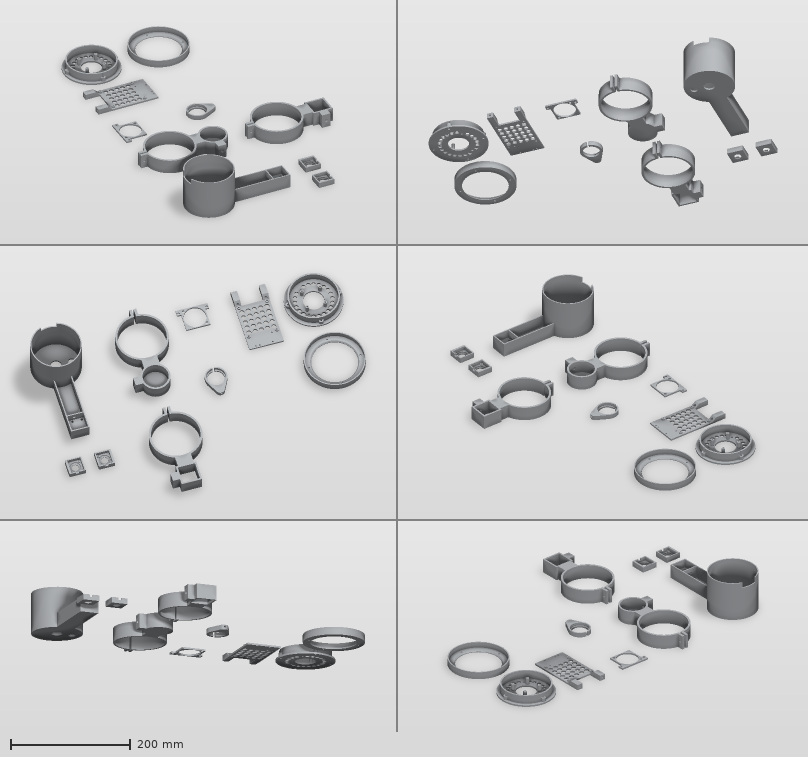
import cadquery as cq
import math

OVERALL_LENGTH = 545.5
SHEET = 3.0
LOWER_ROW_Y = -119.5
FAN_HOLE_OFFSET = 16.0
FAN_SIGNS = [(-1, -1), (-1, 1), (1, -1), (1, 1)]


def disc(radius, height, x=0.0, y=0.0, z=0.0):
    """Upright cylinder standing on height z."""
    return cq.Workplane("XY", origin=(x, y, z)).circle(radius).extrude(height)


def block(x0, x1, y0, y1, z0, z1):
    """Axis-aligned box between two corners."""
    return cq.Workplane("XY", origin=(x0, y0, z0)).box(x1 - x0, y1 - y0, z1 - z0, centered=False)


def bar_along_x(diameter, x0, x1, y, z):
    """Cylinder whose axis runs along X."""
    return cq.Workplane("YZ", origin=(x0, y, z)).circle(diameter / 2).extrude(x1 - x0)


def bar_along_y(diameter, y0, y1, x, z):
    """Cylinder whose axis runs along Y."""
    return cq.Workplane("XZ", origin=(x, y1, z)).circle(diameter / 2).extrude(y1 - y0)


def rim_points(radius):
    """Four points on a circle, on the X and Y axes."""
    return [(radius, 0), (0, radius), (-radius, 0), (0, -radius)]


RING_DIAMETER = 104.0
RING_RADIUS = RING_DIAMETER / 2
HOUSING_X = RING_RADIUS - OVERALL_LENGTH / 2
RIM_SCREW_RADIUS = 45.0
RIM_SCREW_DIAMETER = 3.2

RING_Y = 5.5
RING_HEIGHT = 13.0
RING_RECESS_RADIUS = 50.0
RING_OPENING_RADIUS = 39.5
RING_CHAMFER = 1.9


def make_cover_ring():
    ring = disc(RING_RADIUS, RING_HEIGHT)
    ring = ring.cut(disc(RING_RECESS_RADIUS, RING_HEIGHT, z=SHEET))
    ring = ring.cut(disc(RING_OPENING_RADIUS, SHEET))
    chamfer = (
        cq.Workplane("XY", origin=(0, 0, SHEET - RING_CHAMFER)).circle(RING_OPENING_RADIUS)
        .workplane(offset=RING_CHAMFER).circle(RING_OPENING_RADIUS + RING_CHAMFER).loft()
    )
    screws = (
        cq.Workplane("XY").pushPoints(rim_points(RIM_SCREW_RADIUS))
        .circle(RIM_SCREW_DIAMETER / 2).extrude(RING_HEIGHT)
    )
    return ring.cut(chamfer).cut(screws).translate((HOUSING_X, RING_Y, 0))


BASE_RADIUS = 50.0
BASE_HEIGHT = 18.0
BASE_WALL_RADIUS = 44.0
BASE_WALL_INNER_RADIUS = 41.5
BASE_OPENING_DIAMETER = 36.0
RIM_BOSS_DIAMETER = 8.0
RIM_BOSS_HEIGHT = 10.0
FAN_POST_DIAMETER = 6.0
FAN_POST_TOP = 15.0
FAN_POST_HOLE_DIAMETER = 2.7
VENT_DIAMETER = 7.0
VENT_CIRCLE_RADIUS = 31.5
VENT_PITCHES = 22
VENT_GAPS = [2, 9]
GAP_HOLE_DIAMETER = 3.5
GAP_HOLE_X = 15.5
GAP_HOLE_Y = 24.5


def make_fan_base():
    base = disc(BASE_RADIUS, SHEET)
    base = base.union(disc(BASE_WALL_RADIUS, BASE_HEIGHT))
    bosses = (
        cq.Workplane("XY").pushPoints(rim_points(RIM_SCREW_RADIUS))
        .circle(RIM_BOSS_DIAMETER / 2).extrude(RIM_BOSS_HEIGHT)
    )
    base = base.union(bosses)
    base = base.cut(disc(BASE_WALL_INNER_RADIUS, BASE_HEIGHT, z=SHEET))

    fan_points = [(sx * FAN_HOLE_OFFSET, sy * FAN_HOLE_OFFSET) for sx, sy in FAN_SIGNS]
    posts = cq.Workplane("XY").pushPoints(fan_points).circle(FAN_POST_DIAMETER / 2).extrude(FAN_POST_TOP)
    base = base.union(posts)
    base = base.cut(disc(BASE_OPENING_DIAMETER / 2, SHEET))
    post_holes = (
        cq.Workplane("XY", origin=(0, 0, SHEET)).pushPoints(fan_points)
        .circle(FAN_POST_HOLE_DIAMETER / 2).extrude(BASE_HEIGHT)
    )
    base = base.cut(post_holes)

    vent_points = []
    for place in range(VENT_PITCHES):
        if place not in VENT_GAPS:
            angle = 2 * math.pi * place / VENT_PITCHES
            vent_points.append((VENT_CIRCLE_RADIUS * math.sin(angle), VENT_CIRCLE_RADIUS * math.cos(angle)))
    base = base.cut(cq.Workplane("XY").pushPoints(vent_points).circle(VENT_DIAMETER / 2).extrude(SHEET))

    gap_points = [(GAP_HOLE_X, GAP_HOLE_Y), (GAP_HOLE_X, -GAP_HOLE_Y)]
    base = base.cut(cq.Workplane("XY").pushPoints(gap_points).circle(GAP_HOLE_DIAMETER / 2).extrude(SHEET))

    screws = (
        cq.Workplane("XY").pushPoints(rim_points(RIM_SCREW_RADIUS))
        .circle(RIM_SCREW_DIAMETER / 2).extrude(BASE_HEIGHT)
    )
    return base.cut(screws).translate((HOUSING_X, LOWER_ROW_Y, 0))


PLATE_X = -120.5
PLATE_WIDTH = 60.0
PLATE_BACK_Y = -58.0
PLATE_LENGTH = 85.5
LEG_WIDTH = 11.0
LEG_HEIGHT = 10.0
LEG_RAMP = 7.5
LEG_END_Y = -169.5
LEG_HOLE_DIAMETER = 3.4
LEG_HOLE_DEPTH = 11.0
BOARD_HOLE_X = 24.5
BOARD_HOLE_BACK_Y = -81.5
BOARD_HOLE_SPACING = 58.5
BOARD_POST_DIAMETER = 6.0
BOARD_POST_TOP = 6.0
BOARD_POST_HOLE_DIAMETER = 2.8
RAMP_HOLE_DIAMETER = 4.8
RAMP_HOLE_Y = -145.5
GRID_COUNT = 5
GRID_PITCH_X = 11.0
GRID_PITCH_Y = 10.5
GRID_CENTRE_Y = -110.0
GRID_HOLE_DIAMETER = 8.0
SMALL_HOLE_DIAMETER = 2.8
SMALL_HOLES = [(-132.0, -61.0), (-109.0, -61.0), (-102.5, -61.0), (-135.5, -79.0)]


def make_leg(x0):
    """Leg of the plate; a ramp rises from the plate to the top of the leg."""
    ramp_start = PLATE_BACK_Y - PLATE_LENGTH
    profile = [
        (ramp_start, 0), (ramp_start, SHEET), (ramp_start - LEG_RAMP, LEG_HEIGHT),
        (LEG_END_Y, LEG_HEIGHT), (LEG_END_Y, 0),
    ]
    leg = cq.Workplane("YZ", origin=(x0, 0, 0)).polyline(profile).close().extrude(LEG_WIDTH)
    hole = bar_along_y(
        LEG_HOLE_DIAMETER, LEG_END_Y, LEG_END_Y + LEG_HOLE_DEPTH, x0 + LEG_WIDTH / 2, LEG_HEIGHT / 2
    )
    return leg.cut(hole)


def make_board_plate():
    left = PLATE_X - PLATE_WIDTH / 2
    right = PLATE_X + PLATE_WIDTH / 2
    plate = block(left, right, PLATE_BACK_Y - PLATE_LENGTH, PLATE_BACK_Y, 0, SHEET)
    for x0 in (left, right - LEG_WIDTH):
        plate = plate.union(make_leg(x0))

    for x in (PLATE_X - BOARD_HOLE_X, PLATE_X + BOARD_HOLE_X):
        for y in (BOARD_HOLE_BACK_Y, BOARD_HOLE_BACK_Y - BOARD_HOLE_SPACING):
            plate = plate.union(disc(BOARD_POST_DIAMETER / 2, BOARD_POST_TOP, x, y))
            plate = plate.cut(disc(BOARD_POST_HOLE_DIAMETER / 2, BOARD_POST_TOP, x, y))
        plate = plate.cut(disc(RAMP_HOLE_DIAMETER / 2, LEG_HEIGHT, x, RAMP_HOLE_Y, SHEET))

    grid = (
        cq.Workplane("XY", origin=(PLATE_X, GRID_CENTRE_Y, 0))
        .rarray(GRID_PITCH_X, GRID_PITCH_Y, GRID_COUNT, GRID_COUNT)
        .circle(GRID_HOLE_DIAMETER / 2).extrude(SHEET)
    )
    small_holes = cq.Workplane("XY").pushPoints(SMALL_HOLES).circle(SMALL_HOLE_DIAMETER / 2).extrude(SHEET)
    return plate.cut(grid).cut(small_holes)


BRACKET_X = -21.0
BRACKET_BOTTOM_Y = -165.0
BRACKET_WIDTH = 42.0
BRACKET_LENGTH = 41.0
FOOT_WIDTH = 55.5
FOOT_LENGTH = 10.0
FAN_CENTRE_Y = -144.0
FAN_OPENING_DIAMETER = 38.0
FAN_SCREW_DIAMETER = 4.8
FOOT_HOLE_X = 24.5
FOOT_HOLE_Y = -158.0
FOOT_HOLE_DIAMETER = 4.1


def make_fan_bracket():
    top = BRACKET_BOTTOM_Y + BRACKET_LENGTH
    bracket = block(-BRACKET_WIDTH / 2, BRACKET_WIDTH / 2, BRACKET_BOTTOM_Y, top, 0, SHEET)
    foot_top = BRACKET_BOTTOM_Y + FOOT_LENGTH
    bracket = bracket.union(block(-FOOT_WIDTH / 2, FOOT_WIDTH / 2, BRACKET_BOTTOM_Y, foot_top, 0, SHEET))
    bracket = bracket.cut(disc(FAN_OPENING_DIAMETER / 2, SHEET, 0, FAN_CENTRE_Y))
    for side in (-1, 1):
        fan_screw_y = FAN_CENTRE_Y - side * FAN_HOLE_OFFSET
        bracket = bracket.cut(disc(FAN_SCREW_DIAMETER / 2, SHEET, side * FAN_HOLE_OFFSET, fan_screw_y))
        bracket = bracket.cut(disc(FOOT_HOLE_DIAMETER / 2, SHEET, side * FOOT_HOLE_X, FOOT_HOLE_Y))
    return bracket.translate((BRACKET_X, 0, 0))


EAR_RING_X = -21.0
EAR_RING_Y = -19.5
EAR_RING_RADIUS = 19.0
EAR_RING_HOLE_DIAMETER = 29.0
EAR_RING_RECESS_DIAMETER = 33.5
EAR_RING_HEIGHT = 8.0
EAR_TIP_RADIUS = 7.5
EAR_TIP_Y = 25.0
SLIT_WIDTH = 3.5
EAR_HOLE_DIAMETER = 3.4
EAR_HOLE_Z = 5.0


def make_ear_ring():
    flank = math.asin((EAR_RING_RADIUS - EAR_TIP_RADIUS) / EAR_TIP_Y)
    ring_x = EAR_RING_RADIUS * math.cos(flank)
    ring_y = EAR_RING_RADIUS * math.sin(flank)
    tip_x = EAR_TIP_RADIUS * math.cos(flank)
    tip_y = EAR_TIP_Y + EAR_TIP_RADIUS * math.sin(flank)
    body = (
        cq.Workplane("XY").moveTo(ring_x, ring_y).lineTo(tip_x, tip_y)
        .threePointArc((0, EAR_TIP_Y + EAR_TIP_RADIUS), (-tip_x, tip_y))
        .lineTo(-ring_x, ring_y)
        .threePointArc((0, -EAR_RING_RADIUS), (ring_x, ring_y))
        .close().extrude(EAR_RING_HEIGHT)
    )
    body = body.cut(disc(EAR_RING_HOLE_DIAMETER / 2, EAR_RING_HEIGHT))
    body = body.cut(block(-SLIT_WIDTH / 2, SLIT_WIDTH / 2, -EAR_RING_RADIUS, 0, 0, EAR_RING_HEIGHT))
    body = body.cut(disc(EAR_RING_RECESS_DIAMETER / 2, EAR_RING_HEIGHT, z=SHEET))
    ear_hole = bar_along_y(EAR_HOLE_DIAMETER, 0, EAR_TIP_Y + EAR_TIP_RADIUS, 0, EAR_HOLE_Z)
    return body.cut(ear_hole).translate((EAR_RING_X, EAR_RING_Y, 0))


CLAMP_X = 79.0
CLAMP_HEIGHT = 25.0
CLAMP_BORE_DIAMETER = 83.0
CLAMP_WALL = 3.55
CLAMP_RADIUS = CLAMP_BORE_DIAMETER / 2 + CLAMP_WALL
CLAMP_SLIT = 3.5
CLAMP_TAB_SPAN = 12.5
CLAMP_TAB_END = 56.0
CLAMP_BOLT_Y = -50.0
CLAMP_BOLT_DIAMETER = 3.4
NECK_WIDTH = 28.0
STUB_WIDTH = 15.5
STUB_LENGTH = 12.0
STUB_HOLE_DIAMETER = 5.1

UPPER_CLAMP_Y = 79.5
SQUARE_OUTER = 36.0
SQUARE_INNER = 30.0
SQUARE_CENTRE = 78.0

CUP_RADIUS = 25.0
CUP_INNER_RADIUS = 22.0
CUP_CENTRE = 80.0


def clamp_with(socket, cavity, socket_centre, socket_half):
    """Split clamp ring joined by a neck to a socket that carries a drilled side stub."""
    tab_half = CLAMP_TAB_SPAN / 2
    slit_half = CLAMP_SLIT / 2
    stub_end = socket_half + STUB_LENGTH
    clamp = disc(CLAMP_RADIUS, CLAMP_HEIGHT)
    clamp = clamp.union(block(-tab_half, tab_half, -CLAMP_TAB_END, 0, 0, CLAMP_HEIGHT))
    clamp = clamp.union(block(-NECK_WIDTH / 2, NECK_WIDTH / 2, 0, socket_centre, 0, CLAMP_HEIGHT))
    clamp = clamp.union(socket)
    stub_low = socket_centre - STUB_WIDTH / 2
    clamp = clamp.union(block(0, stub_end, stub_low, stub_low + STUB_WIDTH, 0, CLAMP_HEIGHT))
    clamp = clamp.cut(disc(CLAMP_BORE_DIAMETER / 2, CLAMP_HEIGHT))
    clamp = clamp.cut(cavity)
    clamp = clamp.cut(block(-slit_half, slit_half, -CLAMP_TAB_END, 0, 0, CLAMP_HEIGHT))
    clamp = clamp.cut(bar_along_x(CLAMP_BOLT_DIAMETER, -tab_half, tab_half, CLAMP_BOLT_Y, CLAMP_HEIGHT / 2))
    return clamp.cut(bar_along_x(STUB_HOLE_DIAMETER, 0, stub_end, socket_centre, CLAMP_HEIGHT / 2))


def square_prism(side, centre_y):
    return cq.Workplane("XY", origin=(0, centre_y, 0)).rect(side, side).extrude(CLAMP_HEIGHT)


def make_square_clamp():
    socket = square_prism(SQUARE_OUTER, SQUARE_CENTRE)
    cavity = square_prism(SQUARE_INNER, SQUARE_CENTRE)
    clamp = clamp_with(socket, cavity, SQUARE_CENTRE, SQUARE_OUTER / 2)
    return clamp.translate((CLAMP_X, UPPER_CLAMP_Y, 0))


def make_cup_clamp():
    socket = disc(CUP_RADIUS, CLAMP_HEIGHT, y=CUP_CENTRE)
    cavity = disc(CUP_INNER_RADIUS, CLAMP_HEIGHT, y=CUP_CENTRE, z=SHEET)
    clamp = clamp_with(socket, cavity, CUP_CENTRE, CUP_RADIUS)
    return clamp.translate((CLAMP_X, LOWER_ROW_Y, 0))


HOLDER_DIAMETER = 87.0
HOLDER_RADIUS = HOLDER_DIAMETER / 2
HOLDER_X = OVERALL_LENGTH / 2 - HOLDER_RADIUS
HOLDER_WALL = 2.0
HOLDER_HEIGHT = 70.0
HOLDER_HOLE_DIAMETER = 19.0
SIDE_HOLE_DIAMETER = 12.0
SIDE_HOLE_X = -27.5
NOTCH_X0 = -13.0
NOTCH_X1 = 15.5
NOTCH_DEPTH = 10.0
ARM_WIDTH = 32.0
ARM_HEIGHT = 25.0
ARM_END = 144.0
DIVIDER_FRONT = 112.0
BAY_FLOOR = 10.0
BAY_HOLE_DIAMETER = 4.1
BAY_HOLES = [(-7.0, 137.0), (9.5, 137.0), (-10.5, 117.5), (6.0, 117.5)]
WIRE_HOLE_DIAMETER = 4.8
WIRE_HOLE_X = 1.5
WIRE_HOLE_Z = 16.5


def make_bottle_holder():
    arm_half = ARM_WIDTH / 2
    inner_half = arm_half - HOLDER_WALL
    bay_front = DIVIDER_FRONT + HOLDER_WALL
    holder = block(-arm_half, arm_half, 0, ARM_END, 0, ARM_HEIGHT)
    holder = holder.cut(block(-inner_half, inner_half, 0, DIVIDER_FRONT, SHEET, ARM_HEIGHT))
    holder = holder.cut(block(-inner_half, inner_half, bay_front, ARM_END - HOLDER_WALL, BAY_FLOOR, ARM_HEIGHT))
    bay_holes = cq.Workplane("XY").pushPoints(BAY_HOLES).circle(BAY_HOLE_DIAMETER / 2).extrude(BAY_FLOOR - SHEET)
    holder = holder.cut(bay_holes.translate((0, 0, SHEET)))
    holder = holder.cut(bar_along_y(WIRE_HOLE_DIAMETER, DIVIDER_FRONT, bay_front, WIRE_HOLE_X, WIRE_HOLE_Z))

    holder = holder.union(disc(HOLDER_RADIUS, HOLDER_HEIGHT))
    holder = holder.cut(disc(HOLDER_RADIUS - HOLDER_WALL, HOLDER_HEIGHT, z=SHEET))
    holder = holder.cut(disc(HOLDER_HOLE_DIAMETER / 2, SHEET))
    holder = holder.cut(disc(SIDE_HOLE_DIAMETER / 2, SHEET, SIDE_HOLE_X))
    notch_floor = HOLDER_HEIGHT - NOTCH_DEPTH
    holder = holder.cut(block(NOTCH_X0, NOTCH_X1, -HOLDER_RADIUS, 0, notch_floor, HOLDER_HEIGHT))
    return holder.translate((HOLDER_X, LOWER_ROW_Y, 0))


CAP_CENTRES_X = [203.5, 255.0]
CAP_Y = 81.0
CAP_SIDE = 28.5
CAP_HEIGHT = 10.0
CAP_WALL = 2.0
CAP_THICK_WALL = 3.5
CAP_HOLE_DIAMETER = 12.0
CAP_RECESS_DIAMETER = 19.0
CAP_RECESS_FLOOR = 1.35
CAP_POST_TOP = 5.1
CAP_POST_DIAMETER = 5.1
CAP_POST_HOLE_DIAMETER = 2.7
CAP_POST_OFFSET = 9.0
CAP_NOTCH_WIDTH = 5.5
CAP_NOTCH_DEPTH = 4.1


def make_cap(outward):
    """Shallow open box; outward is the sign of the side that has the thicker wall."""
    half = CAP_SIDE / 2
    inner = half - CAP_WALL
    cap = block(-half, half, -half, half, 0, CAP_HEIGHT)
    cap = cap.cut(block(CAP_THICK_WALL - half, inner, -inner, inner, SHEET, CAP_HEIGHT))
    cap = cap.cut(disc(CAP_RECESS_DIAMETER / 2, CAP_HEIGHT, z=CAP_RECESS_FLOOR))
    cap = cap.cut(disc(CAP_HOLE_DIAMETER / 2, CAP_HEIGHT))
    for side in (-1, 1):
        x = side * CAP_POST_OFFSET
        cap = cap.union(disc(CAP_POST_DIAMETER / 2, CAP_POST_TOP, x, -x))
        cap = cap.cut(disc(CAP_POST_HOLE_DIAMETER / 2, CAP_POST_TOP, x, -x, SHEET))
    notch_half = CAP_NOTCH_WIDTH / 2
    cap = cap.cut(block(-notch_half, notch_half, inner, half, CAP_HEIGHT - CAP_NOTCH_DEPTH, CAP_HEIGHT))
    if outward > 0:
        cap = cap.mirror("YZ")
    return cap


caps = [
    make_cap(outward).translate((x, CAP_Y, 0))
    for x, outward in zip(CAP_CENTRES_X, (-1, 1))
]

cover_ring = make_cover_ring()
fan_base = make_fan_base()
board_plate = make_board_plate()
fan_bracket = make_fan_bracket()
ear_ring = make_ear_ring()
square_clamp = make_square_clamp()
cup_clamp = make_cup_clamp()
bottle_holder = make_bottle_holder()

result = cq.Compound.makeCompound([
    cover_ring.val(),
    fan_base.val(),
    board_plate.val(),
    fan_bracket.val(),
    ear_ring.val(),
    square_clamp.val(),
    cup_clamp.val(),
    bottle_holder.val(),
    *[cap.val() for cap in caps],
])